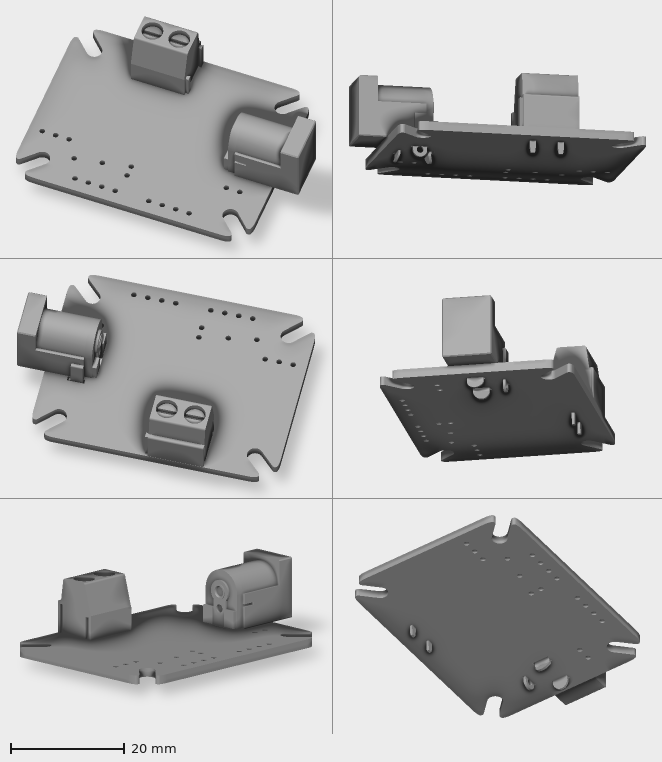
import cadquery as cq
import math


board_length = 44.95
board_width = 35.0
board_thickness = 1.6
corner_slot_width = 2.85
corner_slot_reach = 4.65
corner_radius = corner_slot_reach
corner_slot_tip_radius = 0.55
edge_tolerance = 0.05
via_diameter = 1.0
header_pitch = 2.535
header_rows = [
    (2.5, 10.3, 3),
    (37.4, 10.15, 2),
    (11.7, 2.5, 4),
    (25.65, 2.5, 4),
]
single_vias = [(9.95, 6.65), (14.95, 7.5), (20.05, 8.55), (20.05, 6.45)]

block_length = 10.15
block_left = 12.95
block_right = block_left + block_length
block_back = 34.95
block_front = 26.75
block_height = 10.1
block_front_wall_height = 4.4
block_back_wall_height = 5.95
block_ledge_depth = 0.8
block_top_front = 28.3
block_top_back = 33.55
block_top_radius = 0.4
block_ledge_radius = 0.3
dovetail_depth = 0.6
dovetail_neck = 0.65
dovetail_head = 1.05
dovetails = [(34.05, 5.35), (27.7, 4.05)]

terminal_pitch = 2 * header_pitch
terminal_y = 30.85
terminal_xs = [block_left + block_length / 2 + side * terminal_pitch / 2 for side in (-1, 1)]
screw_hole_diameter = 3.85
screw_diameter = 3.55
screw_depth = 1.0
screw_head_height = 1.5
screw_slot_width = 0.8
screw_slot_depth = 0.8
pin_width = 1.1
pin_thickness = 0.5
pin_tip_width = 0.75
pin_end = -3.75
pin_taper_start = -2.6

jack_y = 17.5
jack_width = 8.9
jack_end = 49.95
jack_height = 11.05
jack_cap_face = 36.4
jack_body_face = 37.8
jack_flange_face = 46.55
jack_axis_height = 6.4
jack_barrel_radius = 3.9
jack_edge_chamfer = 0.2
jack_cap_bottom = 0.15
foot_face = 35.6
foot_outer_spread = 7.6
foot_bottom = 0.3
foot_top = 3.45
groove_end = 40.0
groove_bottom = 4.05
groove_top = 4.55

contact_thickness = 0.5
contact_width = 3.0
contact_slot_x_clearance = 0.3
contact_slot_y_clearance = 0.15
contact_bend_start = -1.8
contact_bend_height = -2.2
contact_tip = -3.45
contact_tip_rise = 1.05
rear_disc_radius = 2.1
rear_hole_diameter = 1.5
rear_hole_height = 3.35
rear_face = jack_cap_face - contact_thickness
rear_jog = 0.3
rear_kink = 0.45
rear_tip_offset = 0.05
bottom_face = 41.85
bottom_thickness = 0.4
bottom_tip_offset = 0.45
bottom_embed = 2.5
side_outer = 22.55
side_arm_width = groove_end - jack_body_face
side_lug_width = 2.55
side_bend_radius = 0.25
side_eye_diameter = 1.2

rivet_diameter = 2.7
rivet_face = 35.75
shank_diameter = 2.1
rivet_mouth_diameter = 2.1
rivet_bore_diameter = 1.7
rivet_bore_depth = 0.4


def block(x_range, y_range, z_range):
    """Box given by its limits along each axis."""
    limits = (x_range, y_range, z_range)
    sizes = [high - low for low, high in limits]
    corner = tuple(low for low, high in limits)
    return cq.Workplane("XY").box(*sizes, centered=False).translate(corner)


def x_cylinder(diameter, start, end, height):
    """Cylinder along X, on the centre plane of the jack."""
    plane = cq.Workplane("YZ", origin=(start, jack_y, height))
    return plane.circle(diameter / 2).extrude(end - start)


def make_terminal(x):
    """Slotted screw head on a flat pin that reaches through the board."""
    head_top = block_height - screw_depth
    head_bottom = head_top - screw_head_height
    head = cq.Workplane("XY", origin=(x, terminal_y, head_bottom))
    head = head.circle(screw_diameter / 2).extrude(screw_head_height)
    slot = cq.Workplane("XY", origin=(x, terminal_y, head_top))
    slot = slot.rect(2 * screw_diameter, screw_slot_width).extrude(-screw_slot_depth)
    half_pin = pin_width / 2
    half_tip = pin_tip_width / 2
    outline = [
        (-half_pin, head_bottom),
        (-half_pin, pin_taper_start),
        (-half_tip, pin_end),
        (half_tip, pin_end),
        (half_pin, pin_taper_start),
        (half_pin, head_bottom),
    ]
    pin = cq.Workplane("XZ", origin=(x, terminal_y, 0)).polyline(outline).close()
    pin = pin.extrude(pin_thickness / 2, both=True)
    return head.cut(slot).union(pin)


def make_dovetail(x, y, height):
    """Upright dovetail bar that widens toward +X."""
    outline = [
        (x, y - dovetail_neck / 2),
        (x + dovetail_depth, y - dovetail_head / 2),
        (x + dovetail_depth, y + dovetail_head / 2),
        (x, y + dovetail_neck / 2),
    ]
    return cq.Workplane("XY").polyline(outline).close().extrude(height)


def make_terminal_block(terminals):
    outline = [
        (block_front, 0),
        (block_front, block_front_wall_height),
        (block_top_front, block_height),
        (block_top_back, block_height),
        (block_back - block_ledge_depth, block_back_wall_height),
        (block_back, block_back_wall_height),
        (block_back, 0),
    ]
    body = cq.Workplane("YZ", origin=(block_left, 0, 0)).polyline(outline).close()
    body = body.extrude(block_length)
    body = body.faces(">Z").edges("|X").fillet(block_top_radius)
    ledge_edge = cq.selectors.NearestToPointSelector(
        (block_left + block_length / 2, block_back, block_back_wall_height)
    )
    body = body.edges(ledge_edge).fillet(block_ledge_radius)
    for y, height in dovetails:
        body = body.cut(make_dovetail(block_left, y, height))
        body = body.union(make_dovetail(block_right, y, height))
    hole_depth = screw_depth + screw_head_height
    holes = cq.Workplane("XY", origin=(0, 0, block_height))
    holes = holes.pushPoints([(x, terminal_y) for x in terminal_xs])
    body = body.cut(holes.circle(screw_hole_diameter / 2).extrude(-hole_depth))
    for terminal in terminals:
        body = body.cut(terminal)
    return body


def round_tab_end(top):
    """Front outline of a solder tab with a rounded lower end, as a cutter along X."""
    half = contact_width / 2
    shoulder = contact_tip + contact_tip_rise
    outline = cq.Workplane("YZ", origin=(0, jack_y, 0)).moveTo(-half, top)
    outline = outline.lineTo(-half, shoulder).threePointArc((0, contact_tip), (half, shoulder))
    return outline.lineTo(half, top).close().extrude(jack_end)


def bent_strip(front_line, thickness):
    """Strip across the jack whose -X side follows the given (x, z) points."""
    back_line = [(x + thickness, z) for x, z in reversed(front_line)]
    strip = cq.Workplane("XZ", origin=(0, jack_y, 0)).polyline(front_line + back_line).close()
    return strip.extrude(contact_width / 2, both=True)


def make_rivet():
    """Riveted pin root with a rim, through the disc into the cap."""
    rim = x_cylinder(rivet_diameter, rivet_face, rear_face, jack_axis_height)
    shank = x_cylinder(shank_diameter, rear_face, jack_body_face, jack_axis_height)
    return rim.union(shank)


def make_rivet_bore():
    """Shallow bore in the rivet with a flared mouth."""
    bore = cq.Workplane("YZ", origin=(rivet_face, jack_y, jack_axis_height))
    bore = bore.circle(rivet_mouth_diameter / 2).workplane(offset=rivet_bore_depth)
    return bore.circle(rivet_bore_diameter / 2).loft()


def make_rear_contact():
    """Riveted disc and strip on the back of the jack, with a kinked solder tab."""
    front_line = [
        (rear_face, jack_axis_height),
        (rear_face, 0),
        (rear_face + rear_jog, -board_thickness / 2),
        (rear_face + rear_jog, contact_bend_start),
        (rear_face + rear_kink, contact_bend_height),
        (rear_face + rear_tip_offset, contact_tip),
    ]
    contact = bent_strip(front_line, contact_thickness)
    contact = contact.intersect(round_tab_end(jack_axis_height))
    disc = x_cylinder(2 * rear_disc_radius, rear_face, jack_cap_face, jack_axis_height)
    hole = x_cylinder(rear_hole_diameter, rear_face, jack_cap_face, rear_hole_height)
    return contact.union(disc).cut(hole).union(make_rivet()).cut(make_rivet_bore())


def make_bottom_contact():
    """Tab below the barrel, bent toward +X at its tip."""
    front_line = [
        (bottom_face, bottom_embed),
        (bottom_face, contact_bend_height),
        (bottom_face + bottom_tip_offset, contact_tip),
    ]
    return bent_strip(front_line, bottom_thickness).intersect(round_tab_end(bottom_embed))


def make_side_contact():
    """Arm that leaves the +Y groove and turns down to an eyelet under the board."""
    arm_root = jack_y + jack_barrel_radius
    side_inner = side_outer - contact_thickness
    arm_x = (jack_body_face, jack_body_face + side_arm_width)
    arm = block(arm_x, (arm_root, side_outer), (groove_bottom, groove_top))
    arm = arm.union(block(arm_x, (side_inner, side_outer), (0, groove_top)))
    arm = arm.edges("|X and >Y and >Z").fillet(side_bend_radius)
    eye_radius = side_lug_width / 2
    eye_x = jack_body_face + eye_radius
    eye_z = contact_tip + eye_radius
    lug_x = (jack_body_face, jack_body_face + side_lug_width)
    lug = block(lug_x, (side_inner, side_outer), (eye_z, 0))
    eye_plane = cq.Workplane("XZ", origin=(eye_x, side_outer, eye_z))
    eye = eye_plane.circle(eye_radius).extrude(contact_thickness)
    hole = eye_plane.circle(side_eye_diameter / 2).extrude(contact_thickness)
    return arm.union(lug).union(eye).cut(hole)


def make_jack_cap(rear_contact):
    """Back cover of the jack: a round-topped plate with two feet beside the rear contact."""
    sides = (jack_y - jack_barrel_radius, jack_y + jack_barrel_radius)
    plate_x = (jack_cap_face, jack_body_face)
    cap = block(plate_x, sides, (jack_cap_bottom, jack_axis_height))
    cap = cap.union(x_cylinder(2 * jack_barrel_radius, *plate_x, jack_axis_height))
    for side in (-1, 1):
        foot_limits = (jack_y + side * contact_width / 2, jack_y + side * foot_outer_spread / 2)
        foot_x = (foot_face, jack_cap_face)
        cap = cap.union(block(foot_x, sorted(foot_limits), (foot_bottom, foot_top)))
    return cap.cut(rear_contact)


def make_jack_housing(contacts):
    half = jack_width / 2
    jack_sides = (jack_y - half, jack_y + half)

    body = block((jack_body_face, jack_end), jack_sides, (0, jack_axis_height))
    flange = block((jack_flange_face, jack_end), jack_sides, (0, jack_height))
    body = body.union(flange)
    body = body.edges(">X or (|X and (<Z or >Z))").chamfer(jack_edge_chamfer)

    barrel = x_cylinder(2 * jack_barrel_radius, jack_body_face, jack_flange_face, jack_axis_height)
    body = body.union(barrel)

    for side in (-1, 1):
        groove_limits = (jack_y + side * jack_barrel_radius, jack_y + side * half)
        groove_x = (jack_body_face, groove_end)
        body = body.cut(block(groove_x, sorted(groove_limits), (groove_bottom, groove_top)))

    for contact in contacts:
        body = body.cut(contact)
    return body


def is_slot_tip(edge):
    """True for an upright edge where a mounting slot breaks out of a rounded board corner."""
    centre = edge.Center()
    inset = min(centre.x, board_length - centre.x, centre.y, board_width - centre.y)
    return edge_tolerance < inset < corner_slot_width / 2


def contact_slot(contact):
    """Rectangular board slot with clearance around a contact leg."""
    board_layer = block((0, jack_end), (0, board_width), (-board_thickness, 0))
    limits = contact.intersect(board_layer).val().BoundingBox()
    x_range = (limits.xmin - contact_slot_x_clearance, limits.xmax + contact_slot_x_clearance)
    y_range = (limits.ymin - contact_slot_y_clearance, limits.ymax + contact_slot_y_clearance)
    return block(x_range, y_range, (-board_thickness, 0))


def make_board(terminals, contacts):
    board = block((0, board_length), (0, board_width), (-board_thickness, 0))
    board = board.edges("|Z").fillet(corner_radius)

    slot_length = 2 * corner_slot_reach * math.sqrt(2) + corner_slot_width
    for x, y, angle in [
        (0, 0, 45),
        (board_length, 0, -45),
        (board_length, board_width, 45),
        (0, board_width, -45),
    ]:
        slot = cq.Workplane("XY", origin=(x, y, 0)).slot2D(slot_length, corner_slot_width, angle)
        board = board.cut(slot.extrude(-board_thickness))
    tips = [edge for edge in board.edges("|Z").vals() if is_slot_tip(edge)]
    board = board.newObject(tips).fillet(corner_slot_tip_radius)

    centres = list(single_vias)
    for x, y, count in header_rows:
        centres += [(x + i * header_pitch, y) for i in range(count)]
    vias = cq.Workplane("XY").pushPoints(centres).circle(via_diameter / 2).extrude(-board_thickness)
    board = board.cut(vias)

    for terminal in terminals:
        board = board.cut(terminal)
    for contact in contacts:
        board = board.cut(contact_slot(contact))
    return board


terminals = [make_terminal(x) for x in terminal_xs]
terminal_block = make_terminal_block(terminals)
rear_contact = make_rear_contact()
bottom_contact = make_bottom_contact()
side_contact = make_side_contact()
legs = [rear_contact, bottom_contact, side_contact]
jack_cap = make_jack_cap(rear_contact)
jack_housing = make_jack_housing([bottom_contact, side_contact])
board = make_board(terminals, legs)

result = cq.Compound.makeCompound([
    board.val(),
    terminal_block.val(),
    *[terminal.val() for terminal in terminals],
    jack_housing.val(),
    jack_cap.val(),
    rear_contact.val(),
    bottom_contact.val(),
    side_contact.val(),
])